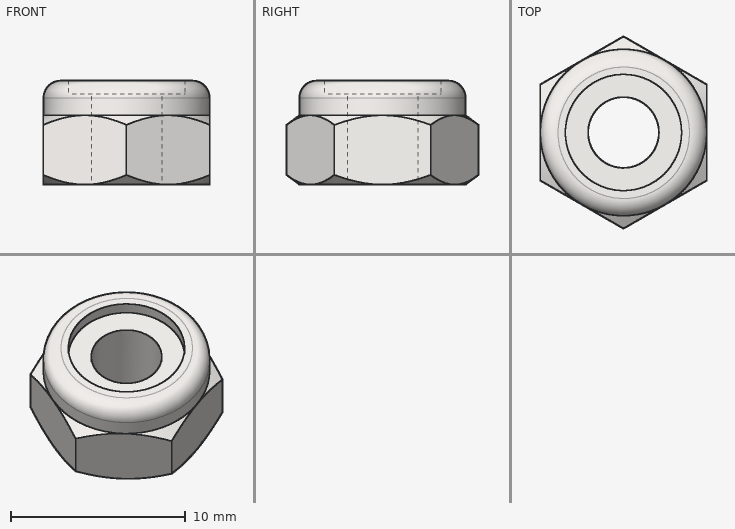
import cadquery as cq
import math

corner_diameter = 11.0
flat_width = corner_diameter * math.cos(math.radians(30))
collar_radius = flat_width / 2
hex_height = 3.96
chamfer_height = 0.55

total_height = 5.95
rounding_radius = 1.0

bore_diameter = 4.04
recess_diameter = 6.65
recess_depth = 0.77


def make_hex_body():
    """Upright hexagon with corners on Y, trimmed by a cone at each end."""
    hexagon = (
        cq.Workplane("XY")
        .polygon(6, corner_diameter)
        .extrude(hex_height)
        .rotate((0, 0, 0), (0, 0, 1), 30)
    )
    corner_radius = corner_diameter / 2
    envelope = (
        cq.Workplane("XZ")
        .polyline([
            (0, 0),
            (collar_radius, 0),
            (corner_radius, chamfer_height),
            (corner_radius, hex_height - chamfer_height),
            (collar_radius, hex_height),
            (0, hex_height),
        ])
        .close()
        .revolve(360, (0, 0, 0), (0, 1, 0))
    )
    return hexagon.intersect(envelope)


def make_collar():
    """Round collar with a rounded upper edge."""
    return (
        cq.Workplane("XY")
        .workplane(offset=hex_height)
        .circle(collar_radius)
        .extrude(total_height - hex_height)
        .faces(">Z")
        .edges()
        .fillet(rounding_radius)
    )


def cut_bore_and_recess(nut):
    """Through bore with a wider flat-bottomed recess at the top."""
    bore = cq.Workplane("XY").circle(bore_diameter / 2).extrude(total_height)
    recess = (
        cq.Workplane("XY")
        .workplane(offset=total_height - recess_depth)
        .circle(recess_diameter / 2)
        .extrude(recess_depth)
    )
    return nut.cut(bore).cut(recess)


result = cut_bore_and_recess(make_hex_body().union(make_collar()))